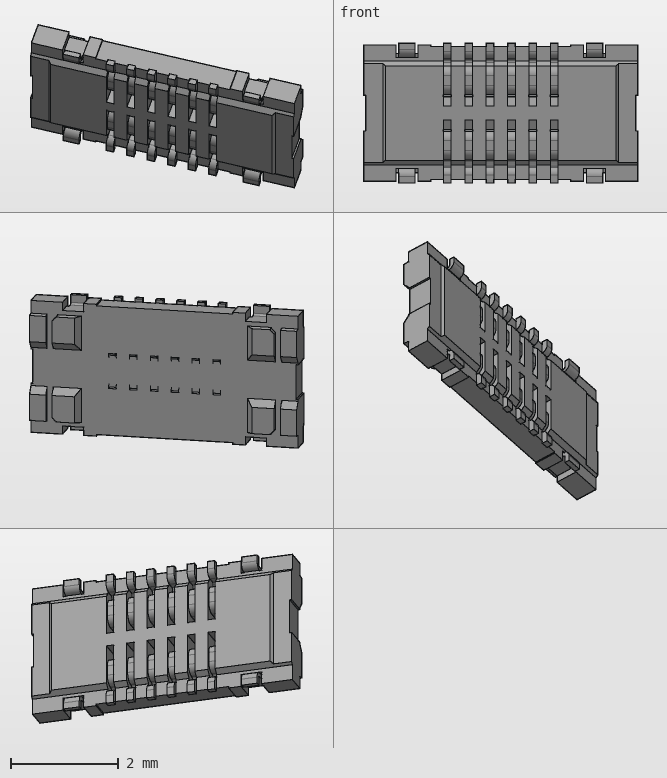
import cadquery as cq
import math


LENGTH = 5.1
HALF_LENGTH = LENGTH / 2
PLATE_HALF_HEIGHT = 1.27
FACE_Y = -0.225
BACK_Y = 0.225
WAIST_HALF_LENGTH = 1.3
WAIST_HALF_HEIGHT = 1.24
END_RECESS_HEIGHT = 0.665
END_RECESS_DEPTH = 0.035

PLATEAU_BASE_HALF_HEIGHT = 0.97
PLATEAU_Y = -0.315
END_LEDGE_Y = -0.27
PLATEAU_TOP_HALF_LENGTH = 2.145

OVERALL_DEPTH = 0.68
FRONT_Y = -OVERALL_DEPTH / 2
FOOT_Y = OVERALL_DEPTH / 2
FOOT_TIP_OUTER_Z = 1.01
FOOT_BASE_OUTER_Z = 1.025
FOOT_TIP_INNER_Z = 0.505
FOOT_BASE_INNER_Z = 0.365
OUTER_FOOT_LENGTH = 0.31
FOOT_GAP = 0.115
INNER_FOOT_TIP_LENGTH = 0.43
INNER_FOOT_RAMP = 0.105
INNER_FOOT_CORNER = 0.08

TIP_Z = 1.3
TAB_X = 1.745
TAB_WIDTH = 0.305
TAB_THICKNESS = 0.1
TAB_BEND_TOP_Z = 1.18
TAB_BEND_RADIUS = 0.15
TAB_INNER_RADIUS = 0.04
NOTCH_WIDTH = 0.405
NOTCH_FLOOR_Z = 1.11
ROOT_POCKET_Y = -0.095

CONTACTS_PER_ROW = 6
CONTACT_PITCH = 0.4
CONTACT_WIDTH = 0.145
LEAD_BEND_TOP_Z = 1.15
LEAD_BEND_RADIUS = 0.145
GROOVE_BOTTOM_Y = 0.0
GROOVE_OUTER_FILLET = 0.03
GROOVE_INNER_FILLET = 0.07
GROOVE_INNER_Z = 0.945
ARCH_TOP_Y = -0.26
ARCH_RADIUS = 0.175
ARCH_INNER_LEG_Z = 0.335
SLOT_FRONT_Z = 0.13
SLOT_BACK_Z = 0.305
SLOT_FLOOR_RUN = 0.065

CLEARANCE = 0.05


def box(x_range, y_range, z_range):
    """Box spanning the given ranges."""
    size = [high - low for low, high in (x_range, y_range, z_range)]
    corner = (x_range[0], y_range[0], z_range[0])
    return cq.Workplane("XY").box(*size, centered=False).translate(corner)


def side_profile(start):
    """Begin a (Y, Z) outline at the given point."""
    return cq.Workplane("YZ").moveTo(*start)


def extrude_across(profile, center_x, width):
    """Close a (Y, Z) outline and extrude it along X, centred on center_x."""
    return profile.close().extrude(width / 2, both=True).translate((center_x, 0, 0))


def quarter_middle(start, end, center):
    """Middle point of the quarter circle about center from start to end."""
    return tuple(c + (s + e - 2 * c) / math.sqrt(2) for s, e, c in zip(start, end, center))


def both_ends(shape):
    """Shape together with its mirror image at the other X end."""
    return shape.union(shape.mirror("YZ"))


def both_rows(shape):
    """Shape together with its mirror image on the other Z side."""
    return shape.union(shape.mirror("XY"))


def plate():
    """Flat plate, slightly lower along its waist than at its ends."""
    waist = (
        cq.Workplane("XZ")
        .rect(LENGTH, 2 * WAIST_HALF_HEIGHT)
        .extrude(BACK_Y - FACE_Y)
        .translate((0, BACK_Y, 0))
    )
    corner = box(
        (WAIST_HALF_LENGTH, HALF_LENGTH), (FACE_Y, BACK_Y), (0, PLATE_HALF_HEIGHT)
    )
    return waist.union(both_ends(both_rows(corner)))


def raised_step(length, top_y):
    """Ridge of the given length whose long flanks slope at 45 degrees from the plate face."""
    rise = FACE_Y - top_y
    top_half_height = PLATEAU_BASE_HALF_HEIGHT - rise
    profile = side_profile((FACE_Y, PLATEAU_BASE_HALF_HEIGHT)).polyline(
        [
            (top_y, top_half_height),
            (top_y, -top_half_height),
            (FACE_Y, -PLATEAU_BASE_HALF_HEIGHT),
        ],
        includeCurrent=True,
    )
    return extrude_across(profile, 0, length)


def plateau():
    """Low step across the whole length and a higher plateau with sloped ends between them."""
    low_step = raised_step(LENGTH, END_LEDGE_Y)
    end_run = END_LEDGE_Y - PLATEAU_Y
    foot_half_length = PLATEAU_TOP_HALF_LENGTH + end_run
    high_step = raised_step(2 * foot_half_length, PLATEAU_Y)
    end_wedge = (
        cq.Workplane("XY")
        .polyline(
            [
                (foot_half_length, END_LEDGE_Y),
                (PLATEAU_TOP_HALF_LENGTH, PLATEAU_Y),
                (foot_half_length, PLATEAU_Y),
            ]
        )
        .close()
        .extrude(PLATEAU_BASE_HALF_HEIGHT, both=True)
    )
    return low_step.union(high_step.cut(both_ends(end_wedge)))


def end_recess():
    """Shallow cut in the middle of the +X end."""
    half_height = END_RECESS_HEIGHT / 2
    return box(
        (HALF_LENGTH - END_RECESS_DEPTH, HALF_LENGTH + CLEARANCE),
        (FRONT_Y, FOOT_Y),
        (-half_height, half_height),
    )


def foot_pair():
    """Two back feet at the +X, +Z corner: a block at the end and a ramped one beside it."""
    profile = side_profile((BACK_Y, FOOT_BASE_INNER_Z)).polyline(
        [
            (FOOT_Y, FOOT_TIP_INNER_Z),
            (FOOT_Y, FOOT_TIP_OUTER_Z),
            (BACK_Y, FOOT_BASE_OUTER_Z),
        ],
        includeCurrent=True,
    )
    outer_start_x = HALF_LENGTH - OUTER_FOOT_LENGTH
    inner_end_x = outer_start_x - FOOT_GAP
    inner_tip_x = inner_end_x - INNER_FOOT_TIP_LENGTH
    inner_base_x = inner_tip_x - INNER_FOOT_RAMP
    bar = extrude_across(profile, (inner_base_x + HALF_LENGTH) / 2, HALF_LENGTH - inner_base_x)
    gap = box((inner_end_x, outer_start_x), (BACK_Y, FOOT_Y), (0, FOOT_BASE_OUTER_Z))
    ramp = (
        cq.Workplane("XY")
        .polyline([(inner_base_x, BACK_Y), (inner_tip_x, FOOT_Y), (inner_base_x, FOOT_Y)])
        .close()
        .extrude(FOOT_BASE_OUTER_Z)
    )
    corner = (
        cq.Workplane("XZ", origin=(0, FOOT_Y, 0))
        .polyline(
            [
                (inner_end_x, FOOT_TIP_OUTER_Z - INNER_FOOT_CORNER),
                (inner_end_x, FOOT_BASE_OUTER_Z),
                (inner_end_x - INNER_FOOT_CORNER, FOOT_BASE_OUTER_Z),
                (inner_end_x - INNER_FOOT_CORNER, FOOT_TIP_OUTER_Z),
            ]
        )
        .close()
        .extrude(FOOT_Y - BACK_Y)
    )
    return bar.cut(gap).cut(ramp).cut(corner)


def tab_notch():
    """Notch through the plate edge, deepened near the face on both sides of the tab root."""
    half_notch = NOTCH_WIDTH / 2
    half_tab = TAB_WIDTH / 2
    root_z = TAB_BEND_TOP_Z - TAB_BEND_RADIUS
    fillet = half_notch - half_tab
    notch = box(
        (TAB_X - half_notch, TAB_X + half_notch),
        (FRONT_Y, BACK_Y),
        (NOTCH_FLOOR_Z, PLATE_HALF_HEIGHT + CLEARANCE),
    )
    fillet_start = (half_tab, ROOT_POCKET_Y - fillet)
    fillet_end = (half_notch, ROOT_POCKET_Y)
    fillet_center = (half_notch, ROOT_POCKET_Y - fillet)
    pocket = (
        cq.Workplane("XY", origin=(0, 0, root_z))
        .moveTo(half_tab, FRONT_Y)
        .lineTo(*fillet_start)
        .threePointArc(quarter_middle(fillet_start, fillet_end, fillet_center), fillet_end)
        .lineTo(half_notch, FRONT_Y)
        .close()
        .extrude(NOTCH_FLOOR_Z - root_z)
    )
    return notch.union(both_ends(pocket).translate((TAB_X, 0, 0)))


def hold_down_tab():
    """Tab that leaves the notch floor and bends up to a tip standing off the plate."""
    back_y = FRONT_Y + TAB_THICKNESS
    root_z = TAB_BEND_TOP_Z - TAB_BEND_RADIUS
    outer_center = (FRONT_Y + TAB_BEND_RADIUS, TAB_BEND_TOP_Z)
    outer_start = (outer_center[0], root_z)
    outer_end = (FRONT_Y, TAB_BEND_TOP_Z)
    inner_center = (back_y + TAB_INNER_RADIUS, NOTCH_FLOOR_Z + TAB_INNER_RADIUS)
    inner_start = (back_y, inner_center[1])
    inner_end = (inner_center[0], NOTCH_FLOOR_Z)
    profile = (
        side_profile(outer_start)
        .threePointArc(quarter_middle(outer_start, outer_end, outer_center), outer_end)
        .lineTo(FRONT_Y, TIP_Z)
        .lineTo(back_y, TIP_Z)
        .lineTo(*inner_start)
        .threePointArc(quarter_middle(inner_start, inner_end, inner_center), inner_end)
    )
    return extrude_across(profile, TAB_X, TAB_WIDTH)


LEAD_BEND_CENTER = (FRONT_Y + LEAD_BEND_RADIUS, LEAD_BEND_TOP_Z)
LEAD_BEND_TOP = (FRONT_Y, LEAD_BEND_TOP_Z)
LEAD_BEND_BOTTOM = (LEAD_BEND_CENTER[0], LEAD_BEND_TOP_Z - LEAD_BEND_RADIUS)
LEAD_BEND_MIDDLE = quarter_middle(LEAD_BEND_TOP, LEAD_BEND_BOTTOM, LEAD_BEND_CENTER)


def contact_slot(center_x):
    """Open space around one +Z contact: a pocket by its inner leg, and its groove."""
    open_y = FRONT_Y - CLEARANCE
    arch_shoulder_y = ARCH_TOP_Y + ARCH_RADIUS
    arch_inner_z = ARCH_INNER_LEG_Z + ARCH_RADIUS
    arch_outer_leg_z = GROOVE_INNER_Z - GROOVE_INNER_FILLET
    arch_outer_z = arch_outer_leg_z - ARCH_RADIUS
    inner_leg = (arch_shoulder_y, ARCH_INNER_LEG_Z)
    inner_crown = (ARCH_TOP_Y, arch_inner_z)
    outer_crown = (ARCH_TOP_Y, arch_outer_z)
    outer_leg = (arch_shoulder_y, arch_outer_leg_z)

    inner_fillet_center = (GROOVE_BOTTOM_Y - GROOVE_INNER_FILLET, GROOVE_INNER_Z)
    inner_fillet_start = (inner_fillet_center[0], arch_outer_leg_z)
    inner_fillet_end = (GROOVE_BOTTOM_Y, GROOVE_INNER_Z)
    outer_wall_z = LEAD_BEND_BOTTOM[1]
    outer_fillet_start = (GROOVE_BOTTOM_Y, outer_wall_z - GROOVE_OUTER_FILLET)
    outer_fillet_end = (GROOVE_BOTTOM_Y - GROOVE_OUTER_FILLET, outer_wall_z)
    outer_fillet_center = (outer_fillet_end[0], outer_fillet_start[1])

    profile = (
        side_profile((open_y, SLOT_FRONT_Z))
        .lineTo(BACK_Y - SLOT_FLOOR_RUN, SLOT_FRONT_Z)
        .lineTo(BACK_Y, SLOT_BACK_Z)
        .lineTo(BACK_Y, ARCH_INNER_LEG_Z)
        .lineTo(*inner_leg)
        .threePointArc(
            quarter_middle(inner_leg, inner_crown, (arch_shoulder_y, arch_inner_z)), inner_crown
        )
        .lineTo(*outer_crown)
        .threePointArc(
            quarter_middle(outer_crown, outer_leg, (arch_shoulder_y, arch_outer_z)), outer_leg
        )
        .lineTo(*inner_fillet_start)
        .threePointArc(
            quarter_middle(inner_fillet_start, inner_fillet_end, inner_fillet_center),
            inner_fillet_end,
        )
        .lineTo(*outer_fillet_start)
        .threePointArc(
            quarter_middle(outer_fillet_start, outer_fillet_end, outer_fillet_center),
            outer_fillet_end,
        )
        .lineTo(*LEAD_BEND_BOTTOM)
        .threePointArc(LEAD_BEND_MIDDLE, LEAD_BEND_TOP)
        .lineTo(open_y, LEAD_BEND_TOP_Z)
    )
    return extrude_across(profile, center_x, CONTACT_WIDTH)


def contact_lead(center_x):
    """Solder lead of one +Z contact, lying on the plate face and reaching past its edge."""
    profile = (
        side_profile(LEAD_BEND_BOTTOM)
        .threePointArc(LEAD_BEND_MIDDLE, LEAD_BEND_TOP)
        .lineTo(FRONT_Y, TIP_Z)
        .lineTo(FACE_Y, TIP_Z)
        .lineTo(FACE_Y, LEAD_BEND_TOP_Z)
    )
    return extrude_across(profile, center_x, CONTACT_WIDTH)


body = plate().union(plateau()).union(both_ends(both_rows(foot_pair())))
body = body.cut(both_ends(end_recess()))
body = body.cut(both_ends(both_rows(tab_notch())))
body = body.union(both_ends(both_rows(hold_down_tab())))

for index in range(CONTACTS_PER_ROW):
    contact_x = (index - (CONTACTS_PER_ROW - 1) / 2) * CONTACT_PITCH
    body = body.cut(both_rows(contact_slot(contact_x)))
    body = body.union(both_rows(contact_lead(contact_x)))

result = body